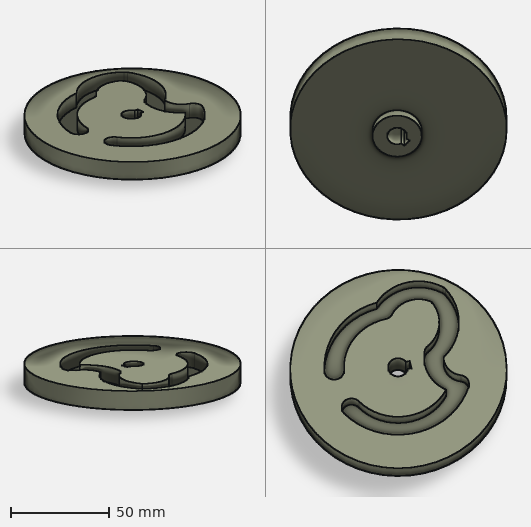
import cadquery as cq
import math

disc_diameter = 110.0
disc_thickness = 10.0
hub_diameter = 25.0
hub_height = 5.0
shaft_x = -1.0

bore_diameter = 10.0
keyway_width = 4.1
keyway_reach = 6.6

groove_width = 10.0
groove_depth = 8.0
dwell_radius = 32.5
inner_radius = 20.0
outer_radius = 45.0
dip_arc_radius = 15.0
rise_arc_radius = 23.0
return_arc_radius = 20.0


def track_point(radius, angle):
    """Point on the groove centreline, in polar form about the shaft axis."""
    turn = math.radians(angle)
    return (shaft_x + radius * math.cos(turn), radius * math.sin(turn))


def arc_center(start, end, radius):
    """Center of the minor arc that runs counterclockwise from start to end."""
    dx = end[0] - start[0]
    dy = end[1] - start[1]
    chord = math.hypot(dx, dy)
    rise = math.sqrt(radius**2 - (chord / 2) ** 2)
    middle_x = (start[0] + end[0]) / 2
    middle_y = (start[1] + end[1]) / 2
    return (middle_x - rise * dy / chord, middle_y + rise * dx / chord)


def groove_segment(start, end, radius):
    """Round-ended arc slot running counterclockwise from start to end."""
    center = arc_center(start, end, radius)
    start_angle = math.atan2(start[1] - center[1], start[0] - center[0])
    end_angle = math.atan2(end[1] - center[1], end[0] - center[0])
    sweep = (end_angle - start_angle) % (2 * math.pi)

    def at(distance, angle):
        return (center[0] + distance * math.cos(angle), center[1] + distance * math.sin(angle))

    middle_angle = start_angle + sweep / 2
    inside = radius - groove_width / 2
    outside = radius + groove_width / 2
    floor = cq.Workplane("XY").workplane(offset=disc_thickness - groove_depth)
    band = (
        floor.moveTo(*at(inside, start_angle))
        .threePointArc(at(inside, middle_angle), at(inside, start_angle + sweep))
        .lineTo(*at(outside, start_angle + sweep))
        .threePointArc(at(outside, middle_angle), at(outside, start_angle))
        .close()
        .extrude(groove_depth)
    )
    ends = floor.pushPoints([start, end]).circle(groove_width / 2).extrude(groove_depth)
    return band.union(ends)


disc = cq.Workplane("XY").circle(disc_diameter / 2).extrude(disc_thickness)
hub = cq.Workplane("XY").center(shaft_x, 0).circle(hub_diameter / 2).extrude(-hub_height)
result = disc.union(hub)

dwell_start = track_point(dwell_radius, -60)
dwell_end = track_point(dwell_radius, 60)
inner_node = track_point(inner_radius, 100)
outer_node = track_point(outer_radius, 140)
return_node = track_point(dwell_radius, 180)
groove_end = track_point(dwell_radius, 260)

segments = [
    (dwell_start, dwell_end, dwell_radius),
    (inner_node, dwell_end, dip_arc_radius),
    (inner_node, outer_node, rise_arc_radius),
    (outer_node, return_node, return_arc_radius),
    (return_node, groove_end, dwell_radius),
]
for start, end, radius in segments:
    result = result.cut(groove_segment(start, end, radius))

through_height = disc_thickness + hub_height
hub_face = cq.Workplane("XY").workplane(offset=-hub_height).center(shaft_x, 0)
bore = hub_face.circle(bore_diameter / 2).extrude(through_height)
keyway = hub_face.center(0, keyway_reach / 2).rect(keyway_width, keyway_reach).extrude(through_height)
result = result.cut(bore).cut(keyway)